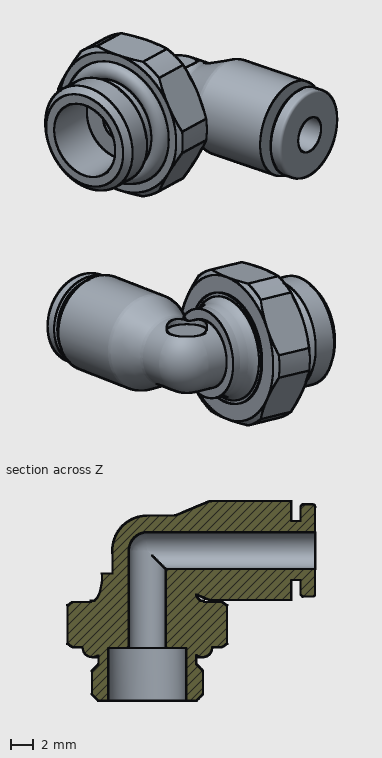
import cadquery as cq
import math


elbow_radius = 3.07
passage_radius = 1.6
badge_radius = 1.77
badge_height = 2.5

taper_start = 2.45
taper_end = 5.43
socket_radius = 4.32
socket_end = 12.56
taper_blend_radius = 0.82
ring_neck_radius = 2.6
ring_start = 13.35
ring_end = 14.64
ring_radius = 4.05
ring_inner_chamfer = 0.2
ring_outer_round = 0.25

collar_top = 1.99
collar_radius = 3.98
collar_straight_end = 2.79
collar_taper_end = 3.57
collar_taper_radius = 4.15
flange_top = 4.35
flange_radius = 4.95
flare_radius = 4.63

hex_top = 4.45
hex_bottom = 8.43
hex_flats = 13.0
hex_corner_radius = 6.98
hex_bevel = 0.3
hex_flat_radius = hex_flats / 2

seal_radius = 5.66
seal_section_radius = 0.86
stud_radius = 4.86
stud_chamfer = 0.58
neck_radius = stud_radius - stud_chamfer
neck_end = 9.88
stud_end = 13.08
bore_radius = 3.4
bore_depth = 4.58


def disc_along_x(start, end, radius):
    """Cylinder around the tube axis."""
    return cq.Workplane("YZ", origin=(start, 0, 0)).circle(radius).extrude(end - start)


def disc_along_stud(top, bottom, radius):
    """Cylinder around the stud axis; depths are measured along -Y."""
    return cq.Workplane("XZ", origin=(0, -top, 0)).circle(radius).extrude(bottom - top)


def revolve_around_stud(profile):
    return profile.revolve(360, (0, 0, 0), (0, 1, 0))


def make_elbow():
    ball = cq.Workplane("XY").sphere(elbow_radius)
    return ball.union(disc_along_stud(0, collar_top, elbow_radius))


def make_tube_branch():
    branch = (
        cq.Workplane("XY")
        .lineTo(0, elbow_radius)
        .lineTo(taper_start, elbow_radius)
        .lineTo(taper_end, socket_radius)
        .lineTo(socket_end, socket_radius)
        .lineTo(socket_end, 0)
        .close()
        .revolve(360, (0, 0, 0), (1, 0, 0))
    )
    margin = 0.22
    reach = 2 * socket_radius
    taper_zone = cq.selectors.BoxSelector(
        (taper_start - margin, -reach, -reach), (taper_end + margin, reach, reach)
    )
    branch = branch.edges("%CIRCLE").edges(taper_zone).fillet(taper_blend_radius)
    ring = disc_along_x(ring_start, ring_end, ring_radius)
    ring = ring.faces("<X").chamfer(ring_inner_chamfer)
    ring = ring.faces(">X").edges().fillet(ring_outer_round)
    return branch.union(disc_along_x(socket_end, ring_start, ring_neck_radius)).union(ring)


def make_collar():
    profile = (
        cq.Workplane("XY")
        .moveTo(0, -collar_top)
        .lineTo(collar_radius, -collar_top)
        .lineTo(collar_radius, -collar_straight_end)
        .lineTo(collar_taper_radius, -collar_taper_end)
        .tangentArcPoint((flare_radius, -flange_top), relative=False)
        .lineTo(flange_radius, -flange_top)
        .lineTo(flange_radius, -hex_top)
        .lineTo(0, -hex_top)
        .close()
    )
    return revolve_around_stud(profile)


def make_hexagon():
    prism = (
        cq.Workplane("XZ", origin=(0, -hex_top, 0))
        .polygon(6, hex_flats / math.cos(math.pi / 6))
        .extrude(hex_bottom - hex_top)
    )
    turned_blank = revolve_around_stud(
        cq.Workplane("XY")
        .moveTo(0, -hex_top)
        .lineTo(hex_flat_radius, -hex_top)
        .lineTo(hex_corner_radius, -hex_top - hex_bevel)
        .lineTo(hex_corner_radius, -hex_bottom + hex_bevel)
        .lineTo(hex_flat_radius, -hex_bottom)
        .lineTo(0, -hex_bottom)
        .close()
    )
    return prism.intersect(turned_blank)


def make_stud():
    ring_centre_radius = seal_radius - seal_section_radius
    seal = revolve_around_stud(
        cq.Workplane("XY").moveTo(ring_centre_radius, -hex_bottom).circle(seal_section_radius)
    )
    neck = disc_along_stud(hex_bottom, neck_end, neck_radius)
    stud = disc_along_stud(neck_end, stud_end, stud_radius).edges().chamfer(stud_chamfer)
    return neck.union(seal).union(stud)


def make_passages():
    """Stud bore and the angled passage that opens at the end of the release ring."""
    bore = disc_along_stud(stud_end - bore_depth, stud_end, bore_radius)
    passage = (
        cq.Workplane("XY")
        .sphere(passage_radius)
        .union(disc_along_stud(0, stud_end, passage_radius))
        .union(disc_along_x(0, ring_end, passage_radius))
    )
    return passage.union(bore)


def make_badge_recess():
    return (
        cq.Workplane("XY", origin=(0, 0, badge_height))
        .circle(badge_radius)
        .extrude(elbow_radius - badge_height)
    )


result = (
    make_elbow()
    .union(make_tube_branch())
    .union(make_collar())
    .union(make_hexagon())
    .union(make_stud())
    .cut(make_passages())
    .cut(make_badge_recess())
)